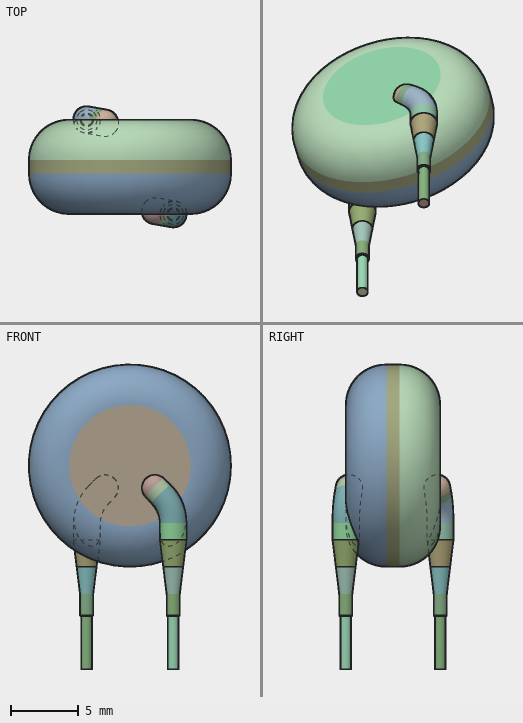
import cadquery as cq
import math

disc_radius = 7.5
disc_thickness = 7.0
disc_edge_radius = 3.0

lead_count = 2
lead_offset_x = 3.2
lead_offset_y = disc_thickness / 2
overall_height = 22.6

hook_radius = 1.0
collar_length = 1.22
bend_radius = 3.0
bend_angle = 45.0
stub_length = 0.7
lean_angle = 10.0

taper_half_length = 2.01
sleeve_radius = 0.5
sleeve_straight_length = 1.65
sleeve_rim_chamfer = 0.07
wire_radius = 0.4

disc_bottom = -disc_radius
taper_top = disc_bottom + taper_half_length
taper_bottom = disc_bottom - taper_half_length
sleeve_bottom = taper_bottom - sleeve_straight_length
wire_bottom = disc_radius - overall_height
taper_middle_radius = (hook_radius + sleeve_radius) / 2


def make_disc():
    """Full disc with both rims rounded."""
    front_face = cq.Workplane("XZ").workplane(offset=disc_thickness / 2)
    blank = front_face.circle(disc_radius).extrude(-disc_thickness)
    return blank.faces("<Y or >Y").edges().fillet(disc_edge_radius)


def place_on_lead(body, index):
    """Move a body made on the Z axis to its lead."""
    on_front_lead = body.translate((lead_offset_x, -lead_offset_y, 0))
    return on_front_lead.rotate((0, 0, 0), (0, 0, 1), index * 360 / lead_count)


def make_hook():
    """Collar, bend and stub swept along one path, closed by a round tip."""
    angle = math.radians(bend_angle)
    bend_start = taper_top + collar_length

    def bend_point(turn):
        return (-bend_radius * (1 - math.cos(turn)), bend_start + bend_radius * math.sin(turn))

    bend_end = bend_point(angle)
    tip = (bend_end[0] - stub_length * math.sin(angle), bend_end[1] + stub_length * math.cos(angle))
    path = (
        cq.Workplane("XZ")
        .moveTo(0, taper_top)
        .lineTo(0, bend_start)
        .threePointArc(bend_point(angle / 2), bend_end)
        .lineTo(*tip)
    )
    rod = cq.Workplane("XY").workplane(offset=taper_top).circle(hook_radius).sweep(path)
    ball = (
        cq.Workplane("XY")
        .sphere(hook_radius)
        .rotate((0, 0, 0), (0, 1, 0), -bend_angle)
        .translate((tip[0], 0, tip[1]))
    )
    return rod.union(ball).rotate((0, 0, 0), (0, 0, 1), -lean_angle)


def revolve_about_z(profile):
    """Full turn about Z of a closed outline of (radius, height) points."""
    return cq.Workplane("XZ").polyline(profile).close().revolve(360, (0, 0), (0, 1))


def make_upper_taper():
    """Taper from the hook's collar down to the level of the disc's lowest point."""
    return revolve_about_z([
        (0, taper_top),
        (hook_radius, taper_top),
        (taper_middle_radius, disc_bottom),
        (0, disc_bottom),
    ])


def make_sleeve():
    """Lower taper continuing into a short straight length with its lower rim broken."""
    sleeve = revolve_about_z([
        (0, disc_bottom),
        (taper_middle_radius, disc_bottom),
        (sleeve_radius, taper_bottom),
        (sleeve_radius, sleeve_bottom),
        (0, sleeve_bottom),
    ])
    return sleeve.faces("<Z").edges().chamfer(sleeve_rim_chamfer)


def make_wire():
    """Bare wire below the sleeve."""
    wire_length = sleeve_bottom - wire_bottom
    return cq.Workplane("XY").workplane(offset=wire_bottom).circle(wire_radius).extrude(wire_length)


hooks = []
upper_tapers = []
sleeves = []
wires = []
for lead in range(lead_count):
    hooks.append(place_on_lead(make_hook(), lead))
    upper_tapers.append(place_on_lead(make_upper_taper(), lead))
    sleeves.append(place_on_lead(make_sleeve(), lead))
    wires.append(place_on_lead(make_wire(), lead))

disc = make_disc()
for embedded in hooks + upper_tapers:
    disc = disc.cut(embedded)

result = cq.Compound.makeCompound(
    [disc.val()] + [body.val() for body in hooks + upper_tapers + sleeves + wires]
)